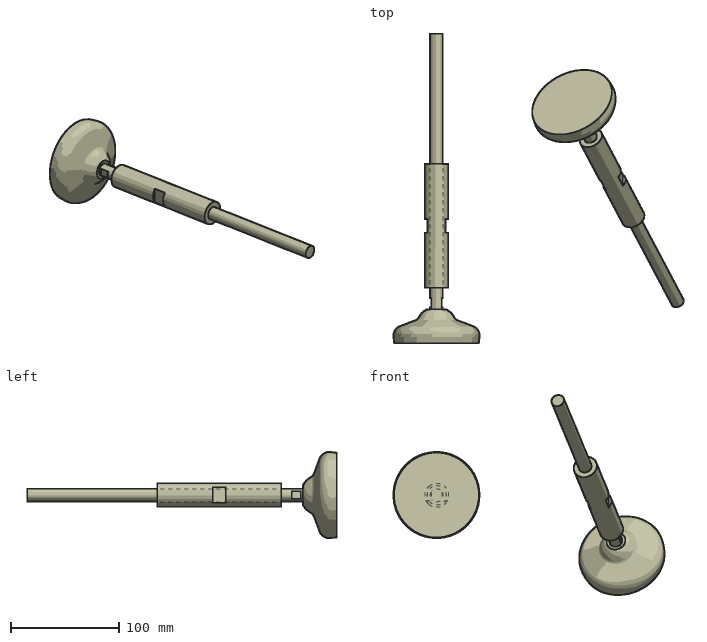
import cadquery as cq
import math

overall_length = 286.5

ground_radius = 39.3
rim_diameter = 80.0
rim_radius = rim_diameter / 2
rim_lower_height = 6.0
rim_upper_height = 8.5
skirt_radius = 34.7
skirt_height = 15.8
flare_radius = 18.5
flare_height = 21.8
dome_base_radius = 17.0
dome_base_height = 23.5
dome_top_radius = 11.0
dome_top_height = 30.5
foot_top_radius = 9.0
foot_height = 31.5
shoulder_bulge = 0.92
dome_bulge = 0.72
flare_hollow = 0.15

spindle_diameter = 12.0
spindle_flat_width = 10.0
spindle_flat_length = 8.5
spindle_flat_start = 33.2

sleeve_diameter = 22.0
sleeve_length = 115.0
sleeve_start = 51.3
sleeve_flat_width = 17.0
sleeve_flat_length = 12.3


def bulged_midpoint(start, end, bulge):
    """Point beside the middle of a chord, outward for a positive bulge."""
    run = end[0] - start[0]
    rise = end[1] - start[1]
    chord = math.hypot(run, rise)
    middle_radius = (start[0] + end[0]) / 2 + bulge * rise / chord
    middle_height = (start[1] + end[1]) / 2 - bulge * run / chord
    return middle_radius, middle_height


def make_cylinder(diameter, start, length):
    """Cylinder along +Y that begins at the given Y."""
    plane = cq.Plane(origin=(0, start, 0), xDir=(1, 0, 0), normal=(0, 1, 0))
    return cq.Workplane(plane).circle(diameter / 2).extrude(length)


def cut_wrench_flats(body, diameter, flat_width, start, length):
    """Cut two flats facing -X and +X into a round body."""
    flat_depth = (diameter - flat_width) / 2
    for side in (-1, 1):
        cutter = cq.Workplane("XY").box(flat_depth, length, diameter)
        cutter = cutter.translate((side * (flat_width + flat_depth) / 2, start + length / 2, 0))
        body = body.cut(cutter)
    return body


def make_foot():
    """Solid of revolution with a rounded rim, a conical skirt and a small dome."""
    rim_top = (rim_radius, rim_upper_height)
    skirt_edge = (skirt_radius, skirt_height)
    flare_edge = (flare_radius, flare_height)
    dome_base = (dome_base_radius, dome_base_height)
    dome_top = (dome_top_radius, dome_top_height)
    profile = (
        cq.Workplane("XY")
        .lineTo(ground_radius, 0)
        .lineTo(rim_radius, rim_lower_height)
        .lineTo(*rim_top)
        .threePointArc(bulged_midpoint(rim_top, skirt_edge, shoulder_bulge), skirt_edge)
        .lineTo(*flare_edge)
        .threePointArc(bulged_midpoint(flare_edge, dome_base, -flare_hollow), dome_base)
        .threePointArc(bulged_midpoint(dome_base, dome_top, dome_bulge), dome_top)
        .lineTo(foot_top_radius, foot_height)
        .lineTo(0, foot_height)
        .close()
    )
    return profile.revolve(360, (0, 0, 0), (0, 1, 0))


def make_spindle():
    """Long round rod with two short wrench flats just above the foot."""
    rod = make_cylinder(spindle_diameter, foot_height, overall_length - foot_height)
    return cut_wrench_flats(
        rod, spindle_diameter, spindle_flat_width, spindle_flat_start, spindle_flat_length
    )


def make_sleeve():
    """Tube that fits the spindle, with wrench flats halfway along it."""
    tube = make_cylinder(sleeve_diameter, sleeve_start, sleeve_length)
    tube = tube.cut(make_cylinder(spindle_diameter, sleeve_start, sleeve_length))
    flat_start = sleeve_start + (sleeve_length - sleeve_flat_length) / 2
    return cut_wrench_flats(
        tube, sleeve_diameter, sleeve_flat_width, flat_start, sleeve_flat_length
    )


foot = make_foot()
spindle = make_spindle()
sleeve = make_sleeve()

result = cq.Compound.makeCompound([foot.val(), spindle.val(), sleeve.val()])